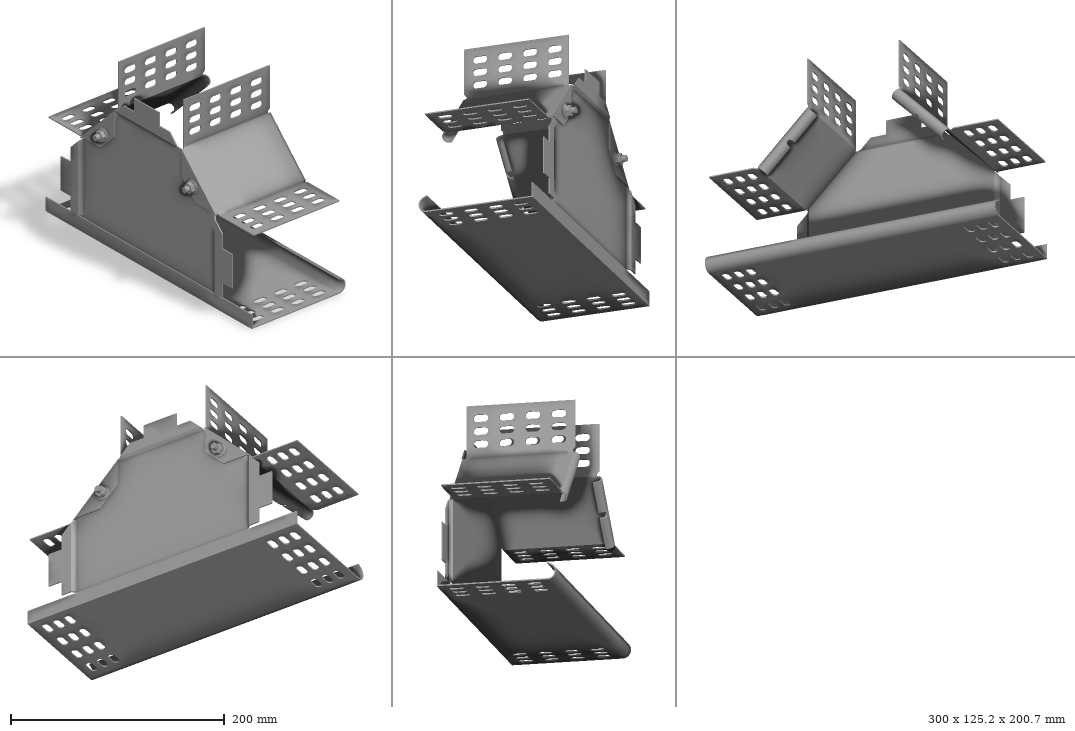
import cadquery as cq
import math


sheet = 1.25
slot_width = 7.0
slot_length = 14.0
slots_across = 3
slots_deep = 4
slot_pitch_across = 12.5
slot_pitch_deep = 25.0

base_length = 300.0
base_lip_height = 15.0
base_curl_radius = 8.0
base_curl_angle = 154.0
base_curl_lip = 4.1
base_back_y = 114.55
base_bend_y = base_back_y - base_curl_radius
base_slot_end = 12.0
base_slot_first_y = 16.3

bracket_mid_x = -0.7
right_bracket_drop = 0.8
bend_radius = 1.25
bracket_reach = 149.3
bracket_top_z = 200.67
low_flange_length = 50.3
high_flange_length = 50.1
slope_rise = 51.2
slope_length = slope_rise * math.sqrt(2)
low_bend_x = low_flange_length - bracket_reach
high_bend_x = low_bend_x + slope_rise
high_bend_z = bracket_top_z - high_flange_length
low_bend_z = high_bend_z - slope_rise
bend_angle = 45.0
miter = sheet * math.tan(math.radians(bend_angle / 2))
flange_front_y = 3.5
flange_rear_y = 108.4
bracket_bend_y = 106.1
flange_last_slot = 37.8
flange_corner_start = 2.0
flange_slot_first_y = 17.5
relief_depth = 2.5
bracket_curl_radius = 5.9
bracket_curl_lip = 2.0
ear_bottom_z = 101.1
ear_side_inset = 1.15
ear_side_x = high_bend_x - ear_side_inset
ear_cut = 20.0

plate_mid_x = -1.0
joggle_depth = 3.25
joggle_run = 3.7
plate_half_width = 95.4
plate_top_z = 146.8
side_tab_bottom_z = 17.2
shoulder = 11.0
tab_length = 14.4
tab_half_width = 18.2
side_tab_mid_z = 51.0
corner_sum = 195.2

bolt_diameter = 6.3
bolt_tip_y = -10.7
bolt_local_x = -64.9
bolt_z = 116.6
nut_height = 5.9
nut_flange_diameter = 14.2
nut_flange_height = 1.4
nut_flange_slope_width = 1.4
nut_flange_slope_height = 0.6
nut_across_flats = 10.0
nut_turn = 12.0
nut_chamfer_diameter = 9.6
nut_chamfer_height = 0.4


def slot_points(first_across, step_across, first_y):
    """Centres of one grid of slots."""
    return [
        (first_across + i * step_across, first_y + j * slot_pitch_deep)
        for i in range(slots_across)
        for j in range(slots_deep)
    ]


def slot_cutter(plane, points, depth):
    return cq.Workplane(plane).pushPoints(points).slot2D(slot_length, slot_width, 90).extrude(depth)


def make_base():
    """Channel with a straight front lip, a rear curl ending in a straight edge, and slotted ends."""

    def curl_point(radius, angle, lip):
        """Point on the curl, by turn from the floor, then along the lip's tangent."""
        turn = math.radians(angle)
        return (
            base_bend_y + radius * math.sin(turn) + lip * math.cos(turn),
            base_curl_radius - radius * math.cos(turn) + lip * math.sin(turn),
        )

    outer = base_curl_radius
    inner = base_curl_radius - sheet
    half_turn = base_curl_angle / 2
    profile = (
        cq.Workplane("YZ")
        .moveTo(0, 0)
        .lineTo(base_bend_y, 0)
        .threePointArc(curl_point(outer, half_turn, 0), curl_point(outer, base_curl_angle, 0))
        .lineTo(*curl_point(outer, base_curl_angle, base_curl_lip))
        .lineTo(*curl_point(inner, base_curl_angle, base_curl_lip))
        .lineTo(*curl_point(inner, base_curl_angle, 0))
        .threePointArc(curl_point(inner, half_turn, 0), curl_point(inner, 0, 0))
        .lineTo(sheet, sheet)
        .lineTo(sheet, base_lip_height)
        .lineTo(0, base_lip_height)
        .close()
    )
    channel = profile.extrude(base_length / 2, both=True)
    first_slot_x = base_length / 2 - base_slot_end
    for side in (-1, 1):
        points = slot_points(side * first_slot_x, -side * slot_pitch_across, base_slot_first_y)
        channel = channel.cut(slot_cutter("XY", points, sheet))
    return channel


def plate_outline():
    """Front outline of the plate, with a stepped tab on each side and on top."""
    joggled_half = plate_half_width + joggle_run
    shoulder_x = joggled_half + shoulder
    tab_x = shoulder_x + tab_length
    shoulder_z = plate_top_z + joggle_run + shoulder
    tab_z = shoulder_z + tab_length
    right_half = [
        (plate_half_width, sheet),
        (plate_half_width, side_tab_bottom_z),
        (shoulder_x, side_tab_bottom_z),
        (shoulder_x, side_tab_mid_z - tab_half_width),
        (tab_x, side_tab_mid_z - tab_half_width),
        (tab_x, side_tab_mid_z + tab_half_width),
        (shoulder_x, side_tab_mid_z + tab_half_width),
        (shoulder_x, corner_sum - shoulder_x),
        (corner_sum - shoulder_z, shoulder_z),
        (tab_half_width, shoulder_z),
        (tab_half_width, tab_z),
    ]
    left_half = [(-x, z) for x, z in reversed(right_half)]
    return right_half + left_half


def make_plate():
    """Upright plate: a joggled blank in cross-section, trimmed to the front outline."""
    back_y = 2 * sheet
    far = bracket_reach
    side_bend = plate_half_width
    side_step = plate_half_width + joggle_run
    top_step = plate_top_z + joggle_run
    kink = sheet * math.tan(math.atan2(joggle_depth, joggle_run) / 2)
    front_y = sheet - joggle_depth

    across = [
        (side_bend, sheet),
        (side_step, front_y),
        (far, front_y),
        (far, front_y + sheet),
        (side_step + kink, front_y + sheet),
        (side_bend + kink, back_y),
    ]
    across_loop = across + [(-x, y) for x, y in reversed(across)]
    upper_loop = [
        (sheet, plate_top_z),
        (front_y, top_step),
        (front_y, bracket_top_z),
        (front_y + sheet, bracket_top_z),
        (front_y + sheet, top_step + kink),
        (back_y, plate_top_z + kink),
        (back_y, plate_top_z),
    ]
    wall = cq.Workplane("XY").polyline(across_loop).close().extrude(plate_top_z)
    upper = cq.Workplane("YZ").polyline(upper_loop).close().extrude(far / 2, both=True)
    blank = wall.union(upper)
    outline = cq.Workplane("XZ").polyline(plate_outline()).close().extrude(2 * far, both=True)
    return blank.intersect(outline).translate((plate_mid_x, 0, 0))


def slope_plane():
    """Plane on the slope's outer face: x runs up the slope from the low bend, y is Y."""
    return cq.Plane(origin=(low_bend_x, 0, low_bend_z), xDir=(1, 0, 1), normal=(-1, 0, 1))


def bracket_strip():
    """Low flange, slope and high flange bent from one strip."""
    profile = [
        (-bracket_reach, low_bend_z),
        (low_bend_x, low_bend_z),
        (high_bend_x, high_bend_z),
        (high_bend_x, bracket_top_z),
        (high_bend_x + sheet, bracket_top_z),
        (high_bend_x + sheet, high_bend_z - miter),
        (low_bend_x + miter, low_bend_z - sheet),
        (-bracket_reach, low_bend_z - sheet),
    ]
    strip = cq.Workplane("XZ", origin=(0, flange_front_y, 0)).polyline(profile).close()
    strip = strip.extrude(flange_front_y - bracket_bend_y)
    middle_y = (flange_front_y + bracket_bend_y) / 2
    for corner_x, corner_z in ((low_bend_x, low_bend_z), (high_bend_x, high_bend_z)):
        strip = strip.edges(cq.NearestToPointSelector((corner_x, middle_y, corner_z))).fillet(bend_radius)
    return strip


def flange_plane_low():
    """Plane on the low flange: x runs from the bend to the free end, y is Y."""
    return cq.Plane(origin=(low_bend_x, 0, low_bend_z), xDir=(-1, 0, 0), normal=(0, 0, -1))


def flange_plane_high():
    """Plane on the high flange: x runs from the bend to the free end, y is -Y."""
    return cq.Plane(origin=(high_bend_x, 0, high_bend_z), xDir=(0, 0, 1), normal=(1, 0, 0))


def rear_margin(plane, y_sign, flange_length):
    """Rear edge of a flange behind the bend line, cut at 45 degrees next to the slope."""
    margin = flange_rear_y - bracket_bend_y
    points = [
        (flange_corner_start, y_sign * bracket_bend_y),
        (flange_corner_start + margin, y_sign * flange_rear_y),
        (flange_length, y_sign * flange_rear_y),
        (flange_length, y_sign * bracket_bend_y),
    ]
    return cq.Workplane(plane).polyline(points).close().extrude(sheet)


def slope_front_margin():
    """Front edge of the slope, with a V-shaped bend relief at both ends."""
    points = [
        (0, 0),
        (slope_length, 0),
        (slope_length - relief_depth, flange_front_y / 2),
        (slope_length, flange_front_y),
        (0, flange_front_y),
        (relief_depth, flange_front_y / 2),
    ]
    return cq.Workplane(slope_plane()).polyline(points).close().extrude(-sheet)


def bracket_ear():
    """Bolted ear lying on the front of the plate."""
    slope_offset = low_bend_z - low_bend_x
    points = [
        (ear_bottom_z - slope_offset, ear_bottom_z),
        (ear_side_x, ear_side_x + slope_offset),
        (ear_side_x, ear_bottom_z + ear_cut),
        (ear_side_x - ear_cut, ear_bottom_z),
    ]
    return cq.Workplane("XZ").polyline(points).close().extrude(-sheet)


def bracket_curl():
    """Half-round rear curl with a short straight lip."""
    radius = bracket_curl_radius
    back_y = bracket_bend_y + radius
    lip_y = bracket_bend_y - bracket_curl_lip
    section = cq.Plane(origin=(low_bend_x, 0, low_bend_z), xDir=(0, 1, 0), normal=(1, 0, 1))
    return (
        cq.Workplane(section)
        .moveTo(bracket_bend_y, 0)
        .threePointArc((back_y, -radius), (bracket_bend_y, -2 * radius))
        .lineTo(lip_y, -2 * radius)
        .lineTo(lip_y, sheet - 2 * radius)
        .lineTo(bracket_bend_y, sheet - 2 * radius)
        .threePointArc((back_y - sheet, -radius), (bracket_bend_y, -sheet))
        .close()
        .extrude(slope_length)
    )


def bolt_hole():
    """Cutter for the bolt's hole through the ear, plate and nut."""
    return (
        cq.Workplane("XZ")
        .center(bolt_local_x, bolt_z)
        .circle(bolt_diameter / 2)
        .extrude(bracket_reach, both=True)
    )


def make_bracket():
    """Left corner bracket in its local frame."""
    low_plane = flange_plane_low()
    high_plane = flange_plane_high()
    body = bracket_strip()
    body = body.union(rear_margin(low_plane, 1, low_flange_length))
    body = body.union(rear_margin(high_plane, -1, high_flange_length))
    body = body.union(slope_front_margin()).union(bracket_ear()).union(bracket_curl())
    low_points = slot_points(flange_last_slot, -slot_pitch_across, flange_slot_first_y)
    high_points = [(x, -y) for x, y in low_points]
    body = body.cut(slot_cutter(low_plane, low_points, sheet))
    body = body.cut(slot_cutter(high_plane, high_points, sheet))
    return body.cut(bolt_hole())


def make_bolt():
    """Plain shank from the back of the plate to its tip."""
    shank = cq.Workplane("XZ", origin=(0, bolt_tip_y, 0)).center(bolt_local_x, bolt_z)
    return shank.circle(bolt_diameter / 2).extrude(bolt_tip_y - 2 * sheet)


def make_nut():
    """Hexagon nut with a round flange, seated on the ear."""
    across_corners = nut_across_flats / math.cos(math.radians(30))
    face = cq.Workplane("XZ")
    flange = face.circle(nut_flange_diameter / 2).extrude(nut_flange_height)
    flange = flange.faces("<Y").chamfer(nut_flange_slope_height, nut_flange_slope_width)
    hexagon = face.polygon(6, across_corners).extrude(nut_height)
    crown = face.circle(across_corners / 2).extrude(nut_height)
    crown = crown.faces("<Y").chamfer(nut_chamfer_height, (across_corners - nut_chamfer_diameter) / 2)
    hexagon = hexagon.intersect(crown)
    nut = flange.union(hexagon).rotate((0, 0, 0), (0, 1, 0), -nut_turn)
    return nut.translate((bolt_local_x, 0, bolt_z)).cut(bolt_hole())


def place_left(part):
    return part.translate((bracket_mid_x, 0, 0))


def place_right(part):
    return part.mirror("YZ").translate((bracket_mid_x, 0, -right_bracket_drop))


base = make_base()
plate = make_plate()
brackets = []
bolts = []
nuts = []
for place in (place_left, place_right):
    brackets.append(place(make_bracket()))
    bolts.append(place(make_bolt()))
    nuts.append(place(make_nut()))
    plate = plate.cut(place(bolt_hole()))

result = cq.Compound.makeCompound(
    [part.val() for part in [base, plate] + brackets + bolts + nuts]
)